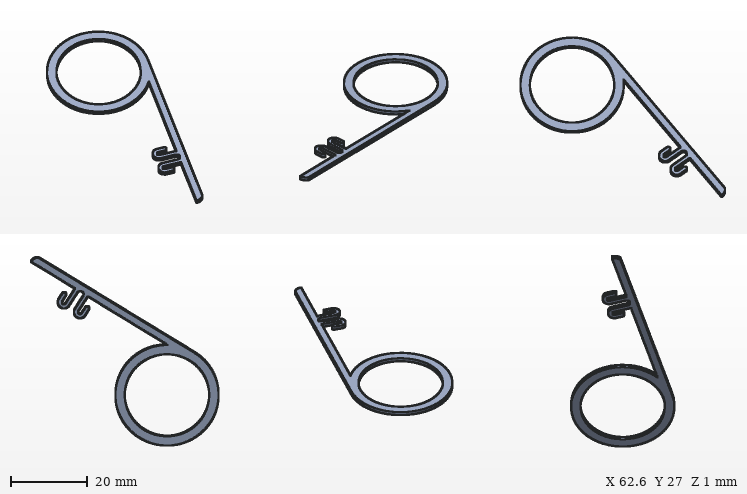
import cadquery as cq
import math

thickness = 1.0

ring_inner_radius = 11.0
ring_wall = 2.5
ring_outer_radius = ring_inner_radius + ring_wall

overall_length = 62.6
arm_width = 2.0
arm_end_radius = 2.4
arm_end_x = overall_length - ring_outer_radius
arm_top_y = ring_outer_radius
arm_bottom_y = arm_top_y - arm_width
arm_end_setback = arm_end_radius - math.sqrt(arm_end_radius**2 - arm_width**2)

hooks_center_x = 33.5
strip_width = 1.13
hook_slot_width = 1.0
arch_width = 1.7
arch_top_y = 11.8
hook_bottom_y = 5.2
hook_tip_y = 9.2

arch_radius = arch_width / 2
arch_center_y = arch_top_y - arch_radius
bend_inner_radius = hook_slot_width / 2
bend_outer_radius = bend_inner_radius + strip_width
bend_center_y = hook_bottom_y + bend_outer_radius
tip_radius = strip_width / 2
leg_root_y = (arm_top_y + arm_bottom_y) / 2


def make_ring_disc():
    return cq.Workplane("XY").circle(ring_outer_radius).extrude(thickness)


def make_arm():
    """Straight arm; its end arc is square to the lower edge and meets the upper edge at a corner."""
    return (
        cq.Workplane("XY")
        .moveTo(0, arm_bottom_y)
        .lineTo(arm_end_x, arm_bottom_y)
        .radiusArc((arm_end_x - arm_end_setback, arm_top_y), -arm_end_radius)
        .lineTo(0, arm_top_y)
        .close()
        .extrude(thickness)
    )


def make_hook(side):
    """J-shaped hook: side is -1 to curl toward the ring, +1 to curl away from it."""
    leg_inner_x = hooks_center_x + side * arch_radius
    leg_outer_x = leg_inner_x + side * strip_width
    bend_center_x = leg_outer_x + side * bend_inner_radius
    tip_inner_x = leg_outer_x + side * hook_slot_width
    tip_outer_x = tip_inner_x + side * strip_width
    tip_center_x = (tip_inner_x + tip_outer_x) / 2
    tip_center_y = hook_tip_y - tip_radius
    return (
        cq.Workplane("XY")
        .moveTo(leg_inner_x, leg_root_y)
        .lineTo(leg_inner_x, bend_center_y)
        .threePointArc((bend_center_x, hook_bottom_y), (tip_outer_x, bend_center_y))
        .lineTo(tip_outer_x, tip_center_y)
        .threePointArc((tip_center_x, hook_tip_y), (tip_inner_x, tip_center_y))
        .lineTo(tip_inner_x, bend_center_y)
        .threePointArc((bend_center_x, bend_center_y - bend_inner_radius), (leg_outer_x, bend_center_y))
        .lineTo(leg_outer_x, leg_root_y)
        .close()
        .extrude(thickness)
    )


def make_arch_web():
    """Material between the two legs, from the arm down to the springing of the arch."""
    web_height = arm_bottom_y - arch_center_y
    return (
        cq.Workplane("XY")
        .center(hooks_center_x, arch_center_y + web_height / 2)
        .rect(arch_width, web_height)
        .extrude(thickness)
    )


def make_arch_cutter():
    """Round head of the gap between the legs, cutting slightly into the arm."""
    return cq.Workplane("XY").center(hooks_center_x, arch_center_y).circle(arch_radius).extrude(thickness)


def make_ring_bore():
    return cq.Workplane("XY").circle(ring_inner_radius).extrude(thickness)


result = make_ring_disc().union(make_arm()).union(make_arch_web())
for hook_side in (-1, 1):
    result = result.union(make_hook(hook_side))
result = result.cut(make_arch_cutter()).cut(make_ring_bore())